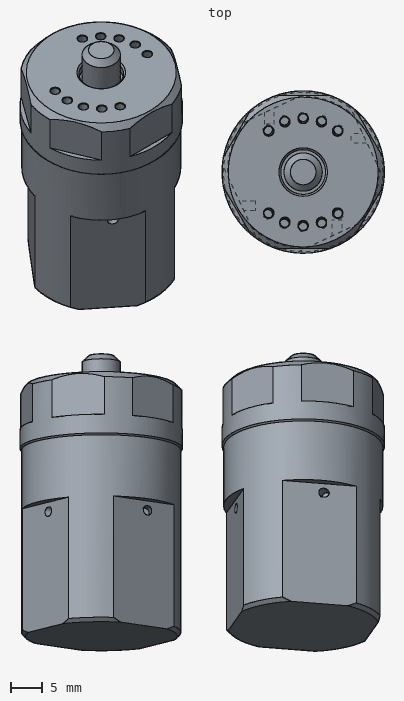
import cadquery as cq
import math

total_height = 44.76
head_top = 40.0
head_bottom = 30.0

body_radius = 12.5
body_bottom_chamfer = 0.6
body_flat_count = 4
body_flat_distance = 11.0
body_flat_angle = 25.0
body_flat_top = 20.0

side_hole_diameter = 1.5
side_hole_offset = 5.3
side_hole_height = 18.5
side_hole_end_distance = 7.5

head_radius = 12.75
head_top_chamfer = 1.0
head_bottom_chamfer = head_radius - body_radius
hex_flat_count = 6
hex_across_flats = 24.0
hex_flat_bottom = 33.0

pin_radius = 3.0
pin_chamfer = 1.0
clearance_radius = 3.5
clearance_chamfer = 0.3
clearance_depth = 1.5

vent_diameter = 1.45
vent_chamfer = 0.1
vent_circle_radius = 8.4
vent_pitch_angle = 20.0
vents_per_arc = 5
vent_lean_angle = 7.0
vent_depth = 2.0


def turned_body():
    """Body, chamfered head and annular clearance around the pin, as one revolved profile."""
    profile = [
        (0, 0),
        (body_radius - body_bottom_chamfer, 0),
        (body_radius, body_bottom_chamfer),
        (body_radius, head_bottom - head_bottom_chamfer),
        (head_radius, head_bottom),
        (head_radius, head_top - head_top_chamfer),
        (head_radius - head_top_chamfer, head_top),
        (clearance_radius + clearance_chamfer, head_top),
        (clearance_radius, head_top - clearance_chamfer),
        (clearance_radius, head_top - clearance_depth),
        (pin_radius, head_top - clearance_depth),
        (pin_radius, total_height - pin_chamfer),
        (pin_radius - pin_chamfer, total_height),
        (0, total_height),
    ]
    return cq.Workplane("XZ").polyline(profile).close().revolve(360, (0, 0, 0), (0, 1, 0))


def outside_flats(count, distance, bottom, top, first_angle):
    """Material outside evenly spaced flats; the first flat is turned first_angle from -Y."""
    height = top - bottom
    size = 2 * head_radius
    cutters = cq.Workplane("XY")
    for index in range(count):
        block = cq.Workplane("XY").box(size, size, height, centered=(True, False, False))
        block = block.translate((0, -distance - size, bottom))
        cutters = cutters.add(block.rotate((0, 0, 0), (0, 0, 1), first_angle + index * 360 / count))
    return cutters.combine()


def side_holes():
    """Blind holes with flat ends, one in each body flat."""
    hole = (
        cq.Workplane("XZ", origin=(0, -side_hole_end_distance, 0))
        .center(side_hole_offset, side_hole_height)
        .circle(side_hole_diameter / 2)
        .extrude(body_radius)
    )
    holes = cq.Workplane("XY")
    for index in range(body_flat_count):
        holes = holes.add(hole.rotate((0, 0, 0), (0, 0, 1), index * 360 / body_flat_count))
    return holes.combine()


def vent_holes():
    """Leaning holes in the head face, all ending on one level floor."""
    lean = math.radians(vent_lean_angle)
    radius = vent_diameter / 2
    downward = cq.Vector(math.sin(lean), 0, -math.cos(lean))
    mouth = cq.Vector(vent_circle_radius, 0, head_top)
    start = mouth - downward * vent_depth
    length = 3 * vent_depth
    cylinder = cq.Solid.makeCylinder(radius, length, start, downward)
    layer = (
        cq.Workplane("XY", origin=(0, 0, head_top - vent_depth))
        .rect(2 * head_radius, 2 * head_radius)
        .extrude(2 * vent_depth)
    )
    cone = cq.Solid.makeCone(
        radius + vent_chamfer, radius, vent_chamfer, mouth, cq.Vector(0, 0, -1)
    )
    vent = cq.Workplane(cylinder).intersect(layer).union(cq.Workplane(cone))

    arc_start = -vent_pitch_angle * (vents_per_arc - 1) / 2
    vents = cq.Workplane("XY")
    for arc_middle in (90, 270):
        for index in range(vents_per_arc):
            angle = arc_middle + arc_start + index * vent_pitch_angle
            vents = vents.add(vent.rotate((0, 0, 0), (0, 0, 1), angle))
    return vents.combine()


hex_cut = outside_flats(hex_flat_count, hex_across_flats / 2, hex_flat_bottom, head_top, 0)
body_cut = outside_flats(body_flat_count, body_flat_distance, 0, body_flat_top, body_flat_angle)

result = turned_body().cut(hex_cut).cut(body_cut).cut(side_holes()).cut(vent_holes())